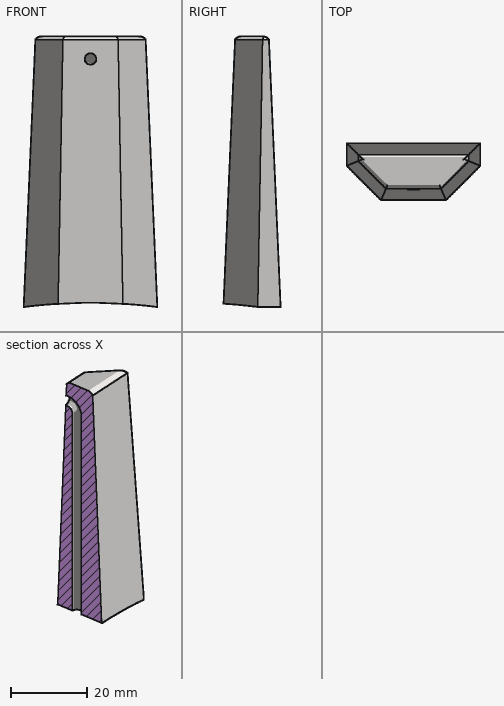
import cadquery as cq
import math

width = 35.0
depth = 15.0
height = 71.0

side_depth = 5.95
flank_run = depth - side_depth
front_width = width - 2 * flank_run

foot_height = 0.9
taper_angle = 2.5
arch_rise = 1.15

rim_height = 0.9
rim_run = 1.7

hole_diameter = 3.0
hole_straight_depth = 0.7
bend_diameter = 9.0
hole_drop = 5.95

margin = 7.1


def outline_points():
    """Corners of the foot, centred on the origin in X and Y, counter-clockwise."""
    back = depth / 2
    front = -depth / 2
    shoulder = back - side_depth
    return [
        (width / 2, back),
        (-width / 2, back),
        (-width / 2, shoulder),
        (-front_width / 2, front),
        (front_width / 2, front),
        (width / 2, shoulder),
    ]


def make_body():
    outline = outline_points()
    foot = cq.Workplane("XY").polyline(outline).close().extrude(foot_height)
    body = (
        cq.Workplane("XY", origin=(0, 0, foot_height))
        .polyline(outline)
        .close()
        .extrude(height - foot_height, taper=taper_angle)
    )
    return foot.union(body)


def rim_cutter(start, end):
    """Waste outside the rounded rim along one side of the outline."""
    length = math.dist(start, end)
    along = ((end[0] - start[0]) / length, (end[1] - start[1]) / length)
    outward = (along[1], -along[0])
    middle = ((start[0] + end[0]) / 2, (start[1] + end[1]) / 2)
    rim_base = height - rim_height
    inset = (rim_base - foot_height) * math.tan(math.radians(taper_angle))

    origin = (
        middle[0] - inset * outward[0] - width * along[0],
        middle[1] - inset * outward[1] - width * along[1],
        rim_base,
    )
    plane = cq.Plane(origin=origin, xDir=(*outward, 0), normal=(-along[0], -along[1], 0))
    radius = (rim_run**2 + rim_height**2) / (2 * rim_height)
    half_angle = math.asin(rim_run / radius) / 2
    arc_middle = (
        radius * math.sin(half_angle) - rim_run,
        rim_height - radius * (1 - math.cos(half_angle)),
    )
    return (
        cq.Workplane(plane)
        .moveTo(-rim_run, rim_height)
        .threePointArc(arc_middle, (0, 0))
        .lineTo(margin, 0)
        .lineTo(margin, margin)
        .lineTo(-rim_run, margin)
        .close()
        .extrude(-2 * width)
    )


def round_rim(body):
    outline = outline_points()
    for start, end in zip(outline, outline[1:] + outline[:1]):
        body = body.cut(rim_cutter(start, end))
    return body


def make_arch():
    """Shallow cylinder running front to back under the foot."""
    radius = ((width / 2) ** 2 + arch_rise**2) / (2 * arch_rise)
    return (
        cq.Workplane("XZ", origin=(0, depth, arch_rise - radius))
        .circle(radius)
        .extrude(2 * depth)
    )


def make_passage():
    """Round bore entering the front, turning down and leaving through the foot."""
    hole_z = height - hole_drop
    front_inset = (hole_z - foot_height) * math.tan(math.radians(taper_angle))
    mouth = -depth / 2 + front_inset
    bend_start = mouth + hole_straight_depth
    bend_radius = (bend_diameter - hole_diameter) / 2
    bend_middle = (
        bend_start + bend_radius * math.sin(math.pi / 4),
        hole_z - bend_radius * (1 - math.cos(math.pi / 4)),
    )
    path = (
        cq.Workplane("YZ")
        .moveTo(mouth - margin, hole_z)
        .lineTo(bend_start, hole_z)
        .threePointArc(bend_middle, (bend_start + bend_radius, hole_z - bend_radius))
        .lineTo(bend_start + bend_radius, -margin)
    )
    return (
        cq.Workplane("XZ", origin=(0, mouth - margin, hole_z))
        .circle(hole_diameter / 2)
        .sweep(path)
    )


result = round_rim(make_body()).cut(make_arch()).cut(make_passage())